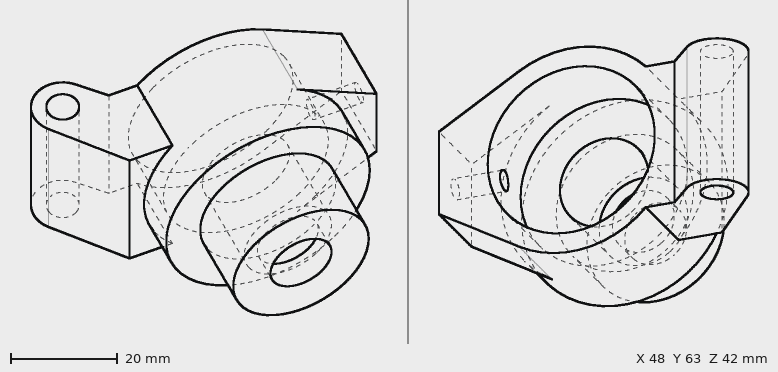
import cadquery as cq
import math

body_radius = 21.01
body_length = 26.0
neck_radius = 14.0
overall_length = 41.0
bore_radius = 17.0
bore_depth = 16.0
inner_bore_radius = 9.0
inner_bore_depth = 35.0
through_radius = 6.3

flange_thickness = 16.0
flange_reach = 26.95
flange_end_half_height = 8.5
cross_hole_radius = 2.0
cross_hole_x = flange_thickness / 2

hinge_x = -1.0
hinge_y = -30.05
hinge_radius = 6.0
hinge_hole_radius = 3.1
lug_half_height = 14.55
lug_shoulder_y = -24.0


def axial_cylinder(radius, length):
    """Cylinder on the bore axis, starting at the open face."""
    return cq.Workplane("YZ").circle(radius).extrude(length)


def tangent_point(point, center, radius, side):
    """Point where a line from `point` touches a circle; side (+1 or -1) picks the tangent."""
    dx = point[0] - center[0]
    dy = point[1] - center[1]
    angle = math.atan2(dy, dx) + side * math.acos(radius / math.hypot(dx, dy))
    return (center[0] + radius * math.cos(angle), center[1] + radius * math.sin(angle))


def tapered_flange():
    """Flange whose slanted sides run tangent to the body."""
    upper_corner = (flange_reach, flange_end_half_height)
    touch_y, touch_z = tangent_point(upper_corner, (0, 0), body_radius, 1)
    outline = [
        (0, touch_z),
        (touch_y, touch_z),
        upper_corner,
        (flange_reach, -flange_end_half_height),
        (touch_y, -touch_z),
        (0, -touch_z),
    ]
    return cq.Workplane("YZ").polyline(outline).close().extrude(flange_thickness)


def hinge_cylinder(radius):
    """Cylinder on the hinge axis, as tall as the lug."""
    return (
        cq.Workplane("XY", origin=(hinge_x, hinge_y, -lug_half_height))
        .circle(radius)
        .extrude(2 * lug_half_height)
    )


def hinge_lug():
    """Arm on -Y with a round hinge eye whose axis is parallel to Z."""
    center = (hinge_x, hinge_y)
    outer_start = (0, -body_radius)
    inner_start = (flange_thickness, lug_shoulder_y)
    outer_touch = tangent_point(outer_start, center, hinge_radius, 1)
    inner_touch = tangent_point(inner_start, center, hinge_radius, -1)
    arm_outline = [(0, 0), outer_start, outer_touch, center, inner_touch, inner_start, (flange_thickness, 0)]
    arm = (
        cq.Workplane("XY", origin=(0, 0, -lug_half_height))
        .polyline(arm_outline)
        .close()
        .extrude(2 * lug_half_height)
    )
    return arm.union(hinge_cylinder(hinge_radius))


def cross_hole():
    """Radial hole from the bore out through the flat end of the flange."""
    return (
        cq.Workplane("XZ", origin=(cross_hole_x, flange_reach, 0))
        .circle(cross_hole_radius)
        .extrude(flange_reach)
    )


outside = (
    axial_cylinder(body_radius, body_length)
    .union(axial_cylinder(neck_radius, overall_length))
    .union(tapered_flange())
    .union(hinge_lug())
)

result = (
    outside
    .cut(axial_cylinder(bore_radius, bore_depth))
    .cut(axial_cylinder(inner_bore_radius, inner_bore_depth))
    .cut(axial_cylinder(through_radius, overall_length))
    .cut(hinge_cylinder(hinge_hole_radius))
    .cut(cross_hole())
)